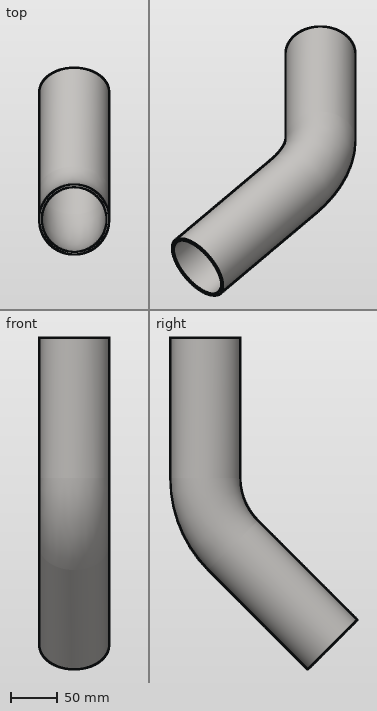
import cadquery as cq
import math

outer_diameter = 76.0
inner_diameter = 70.0
leg_length = 152.0
bend_radius = 103.0
bend_angle = math.radians(45)


def point_on_bend(angle):
    """Centreline point (Y, Z) after turning by the given angle from the vertical leg."""
    y = bend_radius * (1 - math.cos(angle))
    z = -bend_radius * math.sin(angle)
    return y, z


bend_middle = point_on_bend(bend_angle / 2)
bend_end = point_on_bend(bend_angle)
sloping_end = (
    bend_end[0] + leg_length * math.sin(bend_angle),
    bend_end[1] - leg_length * math.cos(bend_angle),
)
centreline = (
    cq.Workplane("YZ")
    .moveTo(0, leg_length)
    .lineTo(0, 0)
    .threePointArc(bend_middle, bend_end)
    .lineTo(*sloping_end)
)

result = (
    cq.Workplane("XY", origin=(0, 0, leg_length))
    .circle(outer_diameter / 2)
    .circle(inner_diameter / 2)
    .sweep(centreline)
)